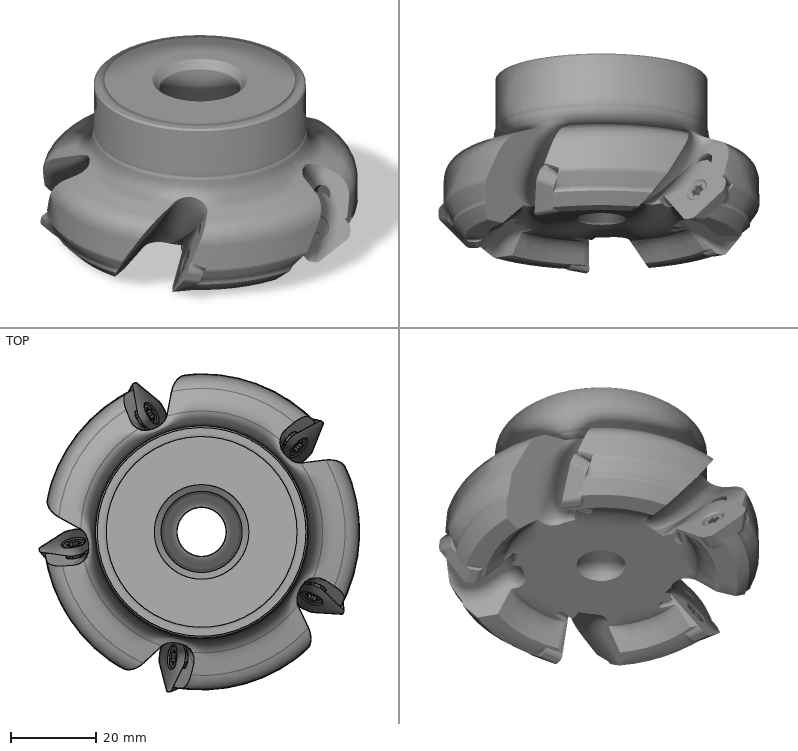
import cadquery as cq
import math

TOP_Z = 40.0
TEETH = 5
FIRST_TOOTH_ANGLE = -29.6
TOOTH_PITCH = 360.0 / TEETH

SEAT_DIA = 44.78
SEAT_STEP = 0.5
HUB_DIA = 49.78
HUB_CHAMFER = 0.4
HUB_BASE_Z = 27.1
COLLAR_DIA = 50.28
COLLAR_Z = 26.4
NECK_END = (28.4, 21.65)
SHOULDER_END = (33.7, 19.7)
RIM_TOP = (37.0, 14.83)
RIM_BOTTOM = (37.1, 8.76)
RIM_EDGE = (36.95, 8.25)
LAND_TOP = (35.0, 5.05)
LAND_EDGE = (34.86, 4.62)
LAND_BOTTOM = (34.86, 3.85)
BOTTOM_Z = 1.0
BOTTOM_RADIUS = 32.1

BORE_DIA = 19.06
BORE_DEPTH = 20.0
BORE_FLOOR_FILLET = 0.5
BORE_CHAMFER_DIA = 22.2
BORE_CHAMFER_DEPTH = 2.0
BOLT_DIA = 11.5

RECESS_MOUTH_RADIUS = 27.3
RECESS_CEILING_RADIUS = 22.8
RECESS_CEILING_Z = 5.5

INSERT_CENTER = (30.16, -0.84, 7.63)
RADIAL_RAKE = 5.8
AXIAL_RAKE = 21.65
INSERT_WIDTH = 13.4
CORNER_CUT = 1.25
WIPER_WIDTH = 1.8
CORNER_BLEND = 1.5
INSERT_THICKNESS = 3.97
INSERT_CLEARANCE = 20.0
COUNTERSINK_DIA = 5.9
SCREW_HEAD_DIA = 5.25
SCREW_HEAD_DEPTH = 0.35
SOCKET_DIA = 3.5
SOCKET_LOBES = 6
LOBE_DIA = 0.8
SOCKET_DEPTH = 1.5

FLUTE_LEAN = 30.0
FLUTE_ROOT_RADIUS = 4.1
FLUTE_ROOT_OFFSET = 6.05
FLUTE_OPENING = 27.7
FLUTE_REACH = 40.0
FLUTE_HALF_LENGTH = 40.0

CORNER_RELIEF_RADIUS = 2.1
CORNER_RELIEF_POS = (0.3, 8.0)
LOWER_RELIEF_WIDTH = 1.5
LOWER_RELIEF_LENGTH = 13.0
OUTER_RELIEF = [(4.0, 0), (4.0, 1.75), (9.0, 4.0), (9.0, 0)]
INNER_CLEARANCE_TILT = 48.0
INNER_CLEARANCE_OFFSET = 7.65
INNER_CLEARANCE_LENGTH = 21.0
INNER_CLEARANCE_PAST = 5.0


def insert_plane():
    """Plane of the insert face at angle zero: x along the radial diagonal, y up, normal out of the face."""
    spin = math.radians(RADIAL_RAKE)
    rake = math.radians(AXIAL_RAKE)
    across = (math.cos(spin), math.sin(spin), 0)
    normal = (math.sin(spin) * math.cos(rake), -math.cos(spin) * math.cos(rake), math.sin(rake))
    return cq.Plane(origin=INSERT_CENTER, xDir=across, normal=normal)


FACE = insert_plane()


def turned_body():
    """Disc and hub as one profile of (radius, height) points, turned about Z."""
    profile = (
        cq.Workplane("XZ")
        .moveTo(0, BOTTOM_Z)
        .lineTo(BOTTOM_RADIUS, BOTTOM_Z)
        .lineTo(*LAND_BOTTOM)
        .lineTo(*LAND_EDGE)
        .lineTo(*LAND_TOP)
        .lineTo(*RIM_EDGE)
        .lineTo(*RIM_BOTTOM)
        .lineTo(*RIM_TOP)
        .tangentArcPoint(SHOULDER_END, relative=False)
        .lineTo(*NECK_END)
        .tangentArcPoint((COLLAR_DIA / 2, COLLAR_Z), relative=False)
        .lineTo(HUB_DIA / 2, HUB_BASE_Z)
        .lineTo(HUB_DIA / 2, TOP_Z - SEAT_STEP - HUB_CHAMFER)
        .lineTo(HUB_DIA / 2 - HUB_CHAMFER, TOP_Z - SEAT_STEP)
        .lineTo(SEAT_DIA / 2, TOP_Z - SEAT_STEP)
        .lineTo(SEAT_DIA / 2, TOP_Z)
        .lineTo(0, TOP_Z)
        .close()
    )
    return profile.revolve(360, (0, 0, 0), (0, 1, 0))


def arbor_bore():
    floor_z = TOP_Z - BORE_DEPTH
    bore = cq.Workplane("XY", origin=(0, 0, floor_z)).circle(BORE_DIA / 2).extrude(BORE_DEPTH)
    bore = bore.faces("<Z").edges().fillet(BORE_FLOOR_FILLET)
    chamfer_base = cq.Vector(0, 0, TOP_Z - BORE_CHAMFER_DEPTH)
    chamfer = cq.Workplane(
        cq.Solid.makeCone(BORE_DIA / 2, BORE_CHAMFER_DIA / 2, BORE_CHAMFER_DEPTH, chamfer_base)
    )
    bolt_hole = cq.Workplane("XY").circle(BOLT_DIA / 2).extrude(TOP_Z)
    return bore.union(chamfer).union(bolt_hole)


def underside_recess():
    depth = RECESS_CEILING_Z - BOTTOM_Z
    base = cq.Vector(0, 0, BOTTOM_Z)
    return cq.Workplane(cq.Solid.makeCone(RECESS_MOUTH_RADIUS, RECESS_CEILING_RADIUS, depth, base))


def insert_outline(depth):
    """Outline of the insert at a depth below its face; the clearance angle pulls the edges in."""
    half_width = INSERT_WIDTH / 2 - depth * math.tan(math.radians(INSERT_CLEARANCE))
    sharp_corner = half_width * math.sqrt(2)
    wiper = sharp_corner - CORNER_CUT
    blend = sharp_corner - CORNER_BLEND
    corner = [
        (blend, -CORNER_BLEND),
        (wiper, -WIPER_WIDTH / 2),
        (wiper, WIPER_WIDTH / 2),
        (blend, CORNER_BLEND),
    ]
    points = []
    for turn in range(4):
        angle = math.radians(90 * turn)
        for x, y in corner:
            turned_x = x * math.cos(angle) - y * math.sin(angle)
            turned_y = x * math.sin(angle) + y * math.cos(angle)
            points.append((turned_x, turned_y))
    return points


def insert_blank():
    return (
        cq.Workplane(FACE)
        .polyline(insert_outline(0))
        .close()
        .workplane(offset=-INSERT_THICKNESS)
        .polyline(insert_outline(INSERT_THICKNESS))
        .close()
        .loft(ruled=True, combine=True)
    )


def screw_socket():
    countersink = cq.Workplane(FACE).circle(COUNTERSINK_DIA / 2).workplane(offset=-SCREW_HEAD_DEPTH)
    countersink = countersink.circle(SCREW_HEAD_DIA / 2).loft(combine=True)
    floor = cq.Workplane(FACE).workplane(offset=-SOCKET_DEPTH)
    lobe_circle = (SOCKET_DIA - LOBE_DIA) / 2
    core = floor.circle(lobe_circle).extrude(SOCKET_DEPTH)
    lobes = floor.polarArray(lobe_circle, 0, 360, SOCKET_LOBES).circle(LOBE_DIA / 2).extrude(SOCKET_DEPTH)
    return countersink.union(core).union(lobes)


def chip_flute():
    """One flat side lies in the insert face plane; the other opens outward from the round root."""
    lean = math.radians(FLUTE_LEAN)
    axis = FACE.toWorldCoords((math.sin(lean), math.cos(lean), 0)) - FACE.origin
    outward = FACE.toWorldCoords((math.cos(lean), -math.sin(lean), 0)) - FACE.origin
    section = cq.Plane(origin=FACE.origin, xDir=outward, normal=axis * -1)
    opening = math.radians(FLUTE_OPENING)
    r = FLUTE_ROOT_RADIUS
    root_x = -FLUTE_ROOT_OFFSET
    middle = math.pi + opening / 2
    wall = (root_x - r * math.sin(opening), r + r * math.cos(opening))
    mid = (root_x + r * math.cos(middle), r + r * math.sin(middle))
    return (
        cq.Workplane(section)
        .moveTo(FLUTE_REACH, 0)
        .lineTo(root_x, 0)
        .threePointArc(mid, wall)
        .lineTo(wall[0] + FLUTE_REACH * math.cos(opening), wall[1] + FLUTE_REACH * math.sin(opening))
        .close()
        .extrude(FLUTE_HALF_LENGTH, both=True)
    )


def pocket_reliefs():
    corner = (
        cq.Workplane(FACE)
        .center(*CORNER_RELIEF_POS)
        .circle(CORNER_RELIEF_RADIUS)
        .extrude(-INSERT_THICKNESS)
    )
    outer = cq.Workplane(FACE).polyline(OUTER_RELIEF).close().extrude(-INSERT_THICKNESS)
    lower = (
        cq.Workplane(FACE)
        .transformed(rotate=(0, 0, 45))
        .center(-(INSERT_WIDTH + LOWER_RELIEF_WIDTH) / 2, 0)
        .rect(LOWER_RELIEF_WIDTH, LOWER_RELIEF_LENGTH)
        .extrude(-INSERT_THICKNESS)
    )
    return corner.union(outer).union(lower).union(inner_clearance())


def inner_clearance():
    """Room above the insert's inner half, with a wall that cuts into the flute root."""
    return (
        cq.Workplane(FACE)
        .transformed(rotate=(0, 0, INNER_CLEARANCE_TILT))
        .center(INNER_CLEARANCE_PAST - INNER_CLEARANCE_LENGTH, 0)
        .rect(INNER_CLEARANCE_LENGTH, INNER_CLEARANCE_OFFSET, centered=False)
        .extrude(FLUTE_ROOT_RADIUS)
    )


tooth_angles = [FIRST_TOOTH_ANGLE + i * TOOTH_PITCH for i in range(TEETH)]

body = turned_body().cut(arbor_bore()).cut(underside_recess())
tooth_cut = chip_flute().union(pocket_reliefs()).union(insert_blank())
for angle in tooth_angles:
    body = body.cut(tooth_cut.rotate((0, 0, 0), (0, 0, 1), angle))

insert = insert_blank().cut(screw_socket())
inserts = [insert.rotate((0, 0, 0), (0, 0, 1), angle) for angle in tooth_angles]

result = cq.Compound.makeCompound([body.val(), *[tip.val() for tip in inserts]])